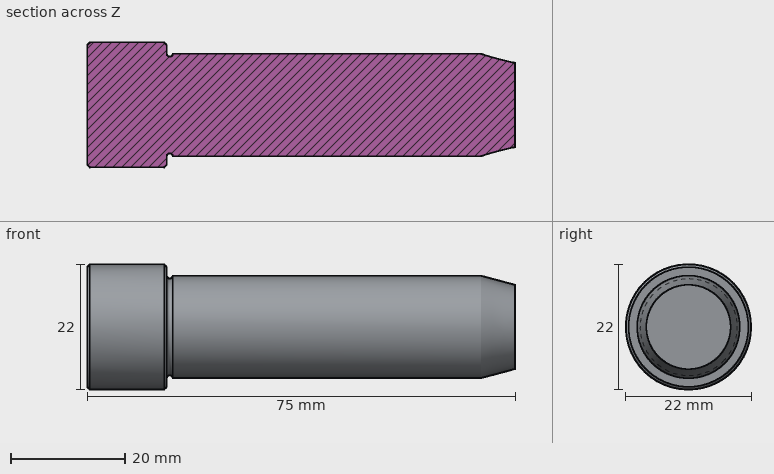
import cadquery as cq
import math

total_length = 75.0
head_diameter = 22.0
head_length = 14.0
head_chamfer = 0.5
shank_diameter = 18.0
groove_width = 1.0
groove_depth = 0.5
tip_length = 6.0
tip_half_angle = 15.0

head_radius = head_diameter / 2
shank_radius = shank_diameter / 2
groove_end = head_length + groove_width
taper_start = total_length - tip_length
tip_radius = shank_radius - tip_length * math.tan(math.radians(tip_half_angle))


def make_head():
    """Cylindrical head with both rims chamfered."""
    head = cq.Workplane("YZ").circle(head_radius).extrude(head_length)
    return head.edges("%CIRCLE").chamfer(head_chamfer)


def make_shank():
    """Shank running through the head, with a round relief groove under the head and a tapered lead-in tip."""
    groove_middle = (head_length + groove_width / 2, shank_radius - groove_depth)
    profile = (
        cq.Workplane("XZ")
        .moveTo(0, 0)
        .lineTo(0, shank_radius)
        .lineTo(head_length, shank_radius)
        .threePointArc(groove_middle, (groove_end, shank_radius))
        .lineTo(taper_start, shank_radius)
        .lineTo(total_length, tip_radius)
        .lineTo(total_length, 0)
        .close()
    )
    return profile.revolve(360, (0, 0, 0), (1, 0, 0))


result = make_head().union(make_shank())